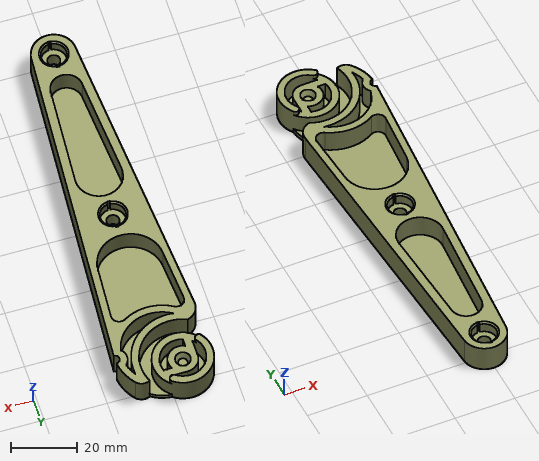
import cadquery as cq
import math

thickness = 9.0
floor_height = 1.5
wall = 2.4

tail_radius = 7.0
head_radius = 15.0
head_y = 110.0
shoulder_radius = 5.0
tip_radius = 3.5

disc_radius = 9.5
disc_offset = 5.0
disc_center = (-disc_offset, head_y + disc_offset)
disc_top = thickness - 1.5
plate_radius = 12.6
clearance_radius = 13.3
guard_radius = clearance_radius + wall

groove_outer = disc_radius - wall
groove_inner = groove_outer - wall
short_groove_start = 2.1
rim_end_angle = 45.0
rim_end_fillet = 1.0
socket_top_diameter = 4.8
socket_bottom_diameter = 2.9
socket_depth = 2.0

pin_diameter = 2.9
pin_center = (head_radius, head_y)
pin_boss_radius = pin_diameter / 2 + wall

screw_spacing = 60.0
screw_diameter = 4.0
counterbore_diameter = 8.0
counterbore_depth = 3.8
counterbore_chamfer = 0.55
relief_width = 0.8
relief_length = 9.4

upper_pocket_bottom = 68.0
upper_pocket_fillet = 2.5
lower_pocket_wall = 2.95
lower_pocket_bottom = 8.0
lower_pocket_top = 53.0

taper_sine = (head_radius - tail_radius) / head_y
taper_cosine = math.sqrt(1 - taper_sine**2)


def circle_crossings(center_a, radius_a, center_b, radius_b):
    """Both crossing points of two circles, the one left of the line from a to b first."""
    dx = center_b[0] - center_a[0]
    dy = center_b[1] - center_a[1]
    distance = math.hypot(dx, dy)
    along = (radius_a**2 - radius_b**2 + distance**2) / (2 * distance)
    across = math.sqrt(radius_a**2 - along**2)
    ux, uy = dx / distance, dy / distance
    foot_x = center_a[0] + along * ux
    foot_y = center_a[1] + along * uy
    left = (foot_x - across * uy, foot_y + across * ux)
    right = (foot_x + across * uy, foot_y - across * ux)
    return left, right


def point_on(center, radius, angle):
    """Point of a circle at an angle in degrees from +X."""
    radians = math.radians(angle)
    return center[0] + radius * math.cos(radians), center[1] + radius * math.sin(radians)


def angle_to(center, point):
    return math.degrees(math.atan2(point[1] - center[1], point[0] - center[0]))


def cylinder(center, radius, bottom, top):
    return cq.Workplane("XY", origin=(*center, bottom)).circle(radius).extrude(top - bottom)


def side_radius(y, inset):
    """Radius of the circle centred at (0, y) that touches both sides moved inward by inset."""
    return tail_radius - inset + y * taper_sine


def side_point(y, inset, side):
    """Where that circle touches the side; side is +1 for +X and -1 for -X."""
    radius = side_radius(y, inset)
    return side * radius * taper_cosine, y - radius * taper_sine


def make_arm():
    """Tapered bar whose head is cut away by the clearance around the disc."""
    head = (0, head_y)
    shoulder_end, tip_start = circle_crossings(head, plate_radius, disc_center, clearance_radius)

    tip_center = circle_crossings(head, head_radius - tip_radius, tip_start, tip_radius)[1]
    tip_angle = angle_to(head, tip_center)
    tip_end = point_on(head, head_radius, tip_angle)
    tip_middle_angle = (tip_angle + angle_to(tip_center, tip_start)) / 2

    along_x, along_y = -taper_sine, taper_cosine
    inward_x, inward_y = taper_cosine, taper_sine
    tail_x, tail_y = side_point(0, 0, -1)
    inward = (shoulder_end[0] - tail_x) * inward_x + (shoulder_end[1] - tail_y) * inward_y
    along = (shoulder_end[0] - tail_x) * along_x + (shoulder_end[1] - tail_y) * along_y
    along -= math.sqrt(shoulder_radius**2 - (inward - shoulder_radius) ** 2)
    shoulder_start = (tail_x + along * along_x, tail_y + along * along_y)
    shoulder_center = (
        shoulder_start[0] + shoulder_radius * inward_x,
        shoulder_start[1] + shoulder_radius * inward_y,
    )
    start_angle = angle_to(shoulder_center, shoulder_start) % 360
    shoulder_middle_angle = (start_angle + angle_to(shoulder_center, shoulder_end)) / 2

    clearance_middle = point_on(disc_center, clearance_radius, rim_end_angle - 90)
    return (
        cq.Workplane("XY")
        .moveTo(*shoulder_end)
        .threePointArc(point_on(shoulder_center, shoulder_radius, shoulder_middle_angle), shoulder_start)
        .lineTo(tail_x, tail_y)
        .threePointArc((0, -tail_radius), side_point(0, 0, 1))
        .lineTo(*side_point(head_y, 0, 1))
        .threePointArc(point_on(head, head_radius, tip_angle / 2), tip_end)
        .threePointArc(point_on(tip_center, tip_radius, tip_middle_angle), tip_start)
        .threePointArc(clearance_middle, shoulder_end)
        .close()
        .extrude(thickness)
    )


def make_guard_recess():
    """Crescent between the guard wall and the head, leaving the boss around the pin hole."""
    recess = cylinder((0, head_y), plate_radius, floor_height, thickness)
    recess = recess.cut(cylinder(disc_center, guard_radius, floor_height, thickness))
    return recess.cut(cylinder(pin_center, pin_boss_radius, floor_height, thickness))


def make_upper_pocket():
    """Pocket with a round bottom and a top that follows the head's circle."""
    bottom_y = (upper_pocket_bottom + tail_radius - wall) / (1 - taper_sine)
    pocket = (
        cq.Workplane("XY", origin=(0, 0, floor_height))
        .moveTo(*side_point(bottom_y, wall, -1))
        .threePointArc((0, upper_pocket_bottom), side_point(bottom_y, wall, 1))
        .lineTo(*side_point(head_y, wall, 1))
        .lineTo(*side_point(head_y, wall, -1))
        .close()
        .extrude(thickness - floor_height)
        .cut(cylinder((0, head_y), head_radius, floor_height, thickness))
    )
    return pocket.edges("|Z").edges(">Y or <X or >X").fillet(upper_pocket_fillet)


def make_lower_pocket():
    """Tapered pocket with round ends that touch its sides."""
    end_radius = tail_radius - lower_pocket_wall
    bottom_y = (lower_pocket_bottom + end_radius) / (1 - taper_sine)
    top_y = (lower_pocket_top - end_radius) / (1 + taper_sine)
    return (
        cq.Workplane("XY", origin=(0, 0, floor_height))
        .moveTo(*side_point(bottom_y, lower_pocket_wall, -1))
        .threePointArc((0, lower_pocket_bottom), side_point(bottom_y, lower_pocket_wall, 1))
        .lineTo(*side_point(top_y, lower_pocket_wall, 1))
        .threePointArc((0, lower_pocket_top), side_point(top_y, lower_pocket_wall, -1))
        .close()
        .extrude(thickness - floor_height)
    )


def make_screw_hole(y):
    """Through hole with a counterbore from the top, a chamfered mouth and two narrow reliefs."""
    center = (0, y)
    counterbore_radius = counterbore_diameter / 2
    hole = cylinder(center, screw_diameter / 2, 0, thickness)
    counterbore = cylinder(center, counterbore_radius, thickness - counterbore_depth, thickness)
    mouth = cq.Workplane("XY").add(
        cq.Solid.makeCone(
            counterbore_radius,
            counterbore_radius + counterbore_chamfer,
            counterbore_chamfer,
            pnt=cq.Vector(0, y, thickness - counterbore_chamfer),
        )
    )
    relief = (
        cq.Workplane("XY", origin=(0, y, thickness - counterbore_depth))
        .rect(relief_width, relief_length)
        .extrude(counterbore_depth)
    )
    return hole.union(counterbore).union(mouth).union(relief)


def make_disc():
    """Disc and its plate, with a raised half rim, two grooves around the hub and a conical socket."""
    disc = cylinder(disc_center, disc_radius, 0, disc_top)
    disc = disc.union(cylinder((0, head_y), plate_radius, 0, floor_height))
    disc = disc.cut(make_long_groove()).cut(make_short_groove())
    socket = cq.Solid.makeCone(
        socket_bottom_diameter / 2,
        socket_top_diameter / 2,
        socket_depth,
        pnt=cq.Vector(*disc_center, disc_top - socket_depth),
    )
    return disc.cut(cq.Workplane("XY").add(socket)).union(make_rim())


def make_rim():
    """Raised half ring on the side away from the arm, with rounded ends."""
    rim_height = thickness - disc_top
    far_half = (
        cq.Workplane("XY", origin=(*disc_center, disc_top))
        .transformed(rotate=(0, 0, rim_end_angle))
        .rect(4 * disc_radius, 2 * disc_radius)
        .extrude(rim_height)
        .translate(point_on((0, 0), disc_radius, rim_end_angle + 90))
    )
    ring = cylinder(disc_center, disc_radius, disc_top, thickness)
    ring = ring.cut(cylinder(disc_center, groove_outer, disc_top, thickness))
    return ring.intersect(far_half).edges("|Z").fillet(rim_end_fillet)


def make_long_groove():
    """Groove around the -X +Y half of the hub, opening out along two straight walls."""
    hub = (
        cq.Workplane("XY", origin=(*disc_center, floor_height))
        .moveTo(0, groove_inner)
        .threePointArc(point_on((0, 0), groove_inner, rim_end_angle + 90), (-groove_inner, 0))
        .lineTo(-groove_inner, -disc_radius)
        .lineTo(disc_radius, -disc_radius)
        .lineTo(disc_radius, groove_inner)
        .close()
        .extrude(disc_top - floor_height)
    )
    return cylinder(disc_center, groove_outer, floor_height, disc_top).cut(hub)


def make_short_groove():
    """Groove around the +X -Y quarter of the hub, with square ends."""
    ring = cylinder(disc_center, groove_outer, floor_height, disc_top)
    ring = ring.cut(cylinder(disc_center, groove_inner, floor_height, disc_top))
    corner = (
        cq.Workplane("XY", origin=(*disc_center, floor_height))
        .moveTo(-short_groove_start, short_groove_start)
        .lineTo(disc_radius, short_groove_start)
        .lineTo(disc_radius, -disc_radius)
        .lineTo(-short_groove_start, -disc_radius)
        .close()
        .extrude(disc_top - floor_height)
    )
    return ring.intersect(corner)


result = make_arm().cut(make_guard_recess())
result = result.cut(cylinder(pin_center, pin_diameter / 2, 0, thickness))
result = result.cut(make_upper_pocket()).cut(make_lower_pocket())
for screw_y in (0, screw_spacing):
    result = result.cut(make_screw_hole(screw_y))
result = result.union(make_disc())